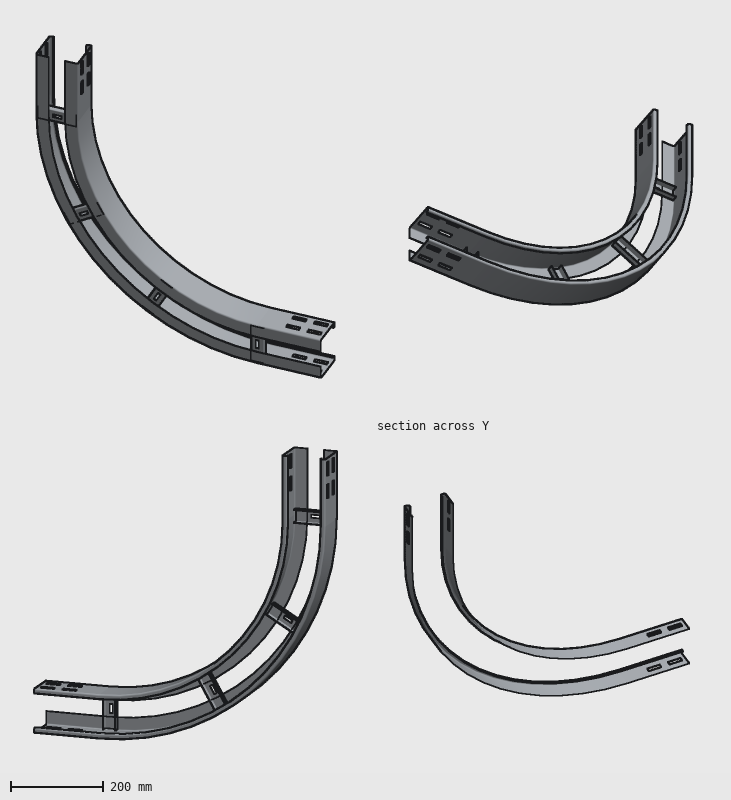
import cadquery as cq
import math

overall = 670.0
straight_length = 150.0
tray_width = 100.0
tray_depth = 80.0

sheet = 1.5
cutter_depth = 4 * sheet
flange_width = 31.0
bend_radius = 4.0
lip_width = 12.0
lip_depth = 9.0

slot_length = 30.0
slot_width = 9.0
slot_end_gap = 25.0
slot_pitch = 50.0
slots_per_row = 2
slot_rows_y = (25.0, 60.0)

rung_width = 30.0
rung_depth = 15.0
rung_bend_radius = 2.0
rung_gap = 5.0
rung_slot_length = 20.0
rung_slot_width = 7.0
rung_angles = (0, 30, 60, 90)

bend_centre = overall - straight_length
outer_radius = bend_centre
inner_radius = outer_radius - tray_width


def rail_section(plane, web_position, inward):
    """Closed section of a rail; `inward` is the sign of the step from its web into the tray."""

    def point(offset, y):
        return (web_position + inward * offset, y)

    inner_bend = bend_radius - sheet
    diagonal = math.sqrt(0.5)
    lip_centre_y = tray_depth - bend_radius
    lip_tip_y = tray_depth - lip_depth
    bend_mid = bend_radius * (1 - diagonal)
    inner_bend_mid = bend_radius - inner_bend * diagonal
    lip_bend_centre = lip_width - bend_radius
    return (
        cq.Workplane(plane)
        .moveTo(*point(flange_width, 0))
        .lineTo(*point(bend_radius, 0))
        .threePointArc(point(bend_mid, bend_mid), point(0, bend_radius))
        .lineTo(*point(0, lip_centre_y))
        .threePointArc(point(bend_mid, tray_depth - bend_mid), point(bend_radius, tray_depth))
        .lineTo(*point(lip_bend_centre, tray_depth))
        .threePointArc(point(lip_width - bend_mid, tray_depth - bend_mid), point(lip_width, lip_centre_y))
        .lineTo(*point(lip_width, lip_tip_y))
        .lineTo(*point(lip_width - sheet, lip_tip_y))
        .lineTo(*point(lip_width - sheet, lip_centre_y))
        .threePointArc(
            point(lip_width - inner_bend_mid, tray_depth - inner_bend_mid),
            point(lip_bend_centre, tray_depth - sheet),
        )
        .lineTo(*point(bend_radius, tray_depth - sheet))
        .threePointArc(point(inner_bend_mid, tray_depth - inner_bend_mid), point(sheet, lip_centre_y))
        .lineTo(*point(sheet, bend_radius))
        .threePointArc(point(inner_bend_mid, inner_bend_mid), point(bend_radius, sheet))
        .lineTo(*point(flange_width, sheet))
        .close()
    )


def web_slots(web_radius):
    """Cutters for the slots through the web in both straight ends of a rail."""
    cutters = cq.Workplane("XY")
    web_place = bend_centre - web_radius
    for row_y in slot_rows_y:
        for column in range(slots_per_row):
            along = overall - slot_end_gap - column * slot_pitch
            upright = cq.Workplane("XY").box(cutter_depth, slot_width, slot_length)
            level = cq.Workplane("XY").box(slot_length, slot_width, cutter_depth)
            cutters = cutters.add(upright.translate((web_place, row_y, along)))
            cutters = cutters.add(level.translate((along, row_y, web_place)))
    return cutters.combine()


def make_rail(web_radius, inward):
    """One rail: an upright straight, a quarter bend and a level straight."""
    upright_plane = cq.Plane((bend_centre, 0, bend_centre), xDir=(-1, 0, 0), normal=(0, 0, -1))
    level_plane = cq.Plane((bend_centre, 0, bend_centre), xDir=(0, 0, -1), normal=(1, 0, 0))
    upright = rail_section(upright_plane, web_radius, inward).extrude(-straight_length)
    level = rail_section(level_plane, web_radius, inward).extrude(straight_length)
    bend = rail_section(upright_plane, web_radius, inward).revolve(90, (0, 0), (0, -1))
    rail = upright.union(bend, clean=False).union(level, clean=False)
    return rail.cut(web_slots(web_radius), clean=False)


def make_rung(angle):
    """Slotted channel between the rails, open toward +Y, `angle` degrees round the bend."""
    length = tray_width - 2 * rung_gap
    inner_depth = rung_depth - sheet
    blank = (
        cq.Workplane("XY")
        .box(length, rung_depth, rung_width)
        .faces("<Y").edges("|X").fillet(rung_bend_radius)
    )
    hollow = (
        cq.Workplane("XY")
        .box(length, inner_depth, rung_width - 2 * sheet)
        .faces("<Y").edges("|X").fillet(rung_bend_radius - sheet)
        .translate((0, sheet / 2, 0))
    )
    slot = (
        cq.Workplane("XY")
        .box(rung_slot_length, cutter_depth, rung_slot_width)
        .translate((0, -rung_depth / 2, 0))
    )
    return (
        blank.cut(hollow).cut(slot)
        .translate((tray_width / 2, sheet + rung_depth / 2, bend_centre))
        .rotate((bend_centre, 0, bend_centre), (bend_centre, -1, bend_centre), angle)
    )


outer_rail = make_rail(outer_radius, -1)
inner_rail = make_rail(inner_radius, 1)
rungs = [make_rung(angle) for angle in rung_angles]

result = cq.Compound.makeCompound(
    [outer_rail.val(), inner_rail.val(), *[rung.val() for rung in rungs]]
)